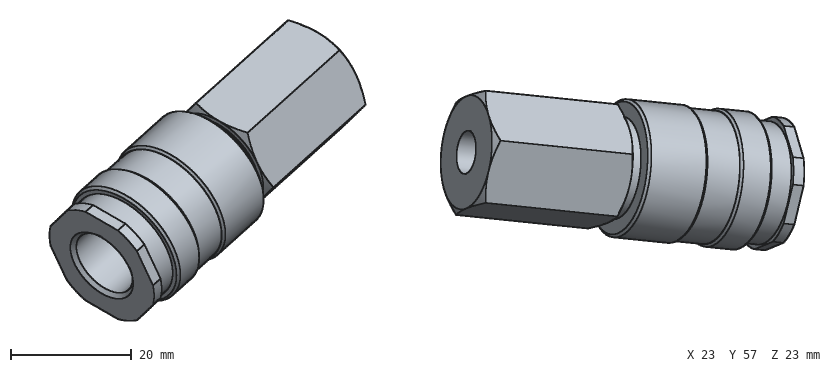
import cadquery as cq
import math

length = 57.0

collar_end = 2.0
front_ring_start = 6.0
front_ring_end = 11.9
rear_ring_start = 17.9
rear_ring_end = 28.95
hex_start = 30.9

collar_diameter = 22.25
front_neck_diameter = 20.5
ring_diameter = 23.0
groove_diameter = 22.25
rear_neck_diameter = 17.1
ring_chamfer = 0.45

collar_across_flats = 21.15
hex_across_flats = 19.0
hex_chamfer_angle = 30.0

mouth_diameter = 13.35
socket_diameter = 11.9
passage_diameter = 7.2
socket_depth = 22.8
mouth_chamfer = (mouth_diameter - socket_diameter) / 2


def cylinder(diameter, start, end):
    """Solid cylinder on the Y axis between two stations."""
    plane = cq.Workplane("XZ", origin=(0, start, 0))
    return plane.circle(diameter / 2).extrude(start - end)


def hexagon(across_flats, start, end):
    """Hexagonal bar on the Y axis with corners on X and flats facing up and down."""
    across_corners = across_flats / math.cos(math.radians(30))
    plane = cq.Workplane("XZ", origin=(0, start, 0))
    return plane.polygon(6, across_corners).extrude(start - end)


def chamfered_ring(start, end):
    return cylinder(ring_diameter, start, end).edges("%CIRCLE").chamfer(ring_chamfer)


def wrench_collar():
    """Round collar with six flats."""
    disc = cylinder(collar_diameter, 0, collar_end)
    return disc.intersect(hexagon(collar_across_flats, 0, collar_end))


def hex_body():
    """Hexagonal body whose corners are turned down conically at both ends."""
    end_radius = hex_across_flats / 2
    corner_radius = end_radius / math.cos(math.radians(30))
    corner_drop = (corner_radius - end_radius) * math.tan(math.radians(hex_chamfer_angle))
    turned_blank = (
        cq.Workplane("XY")
        .moveTo(0, hex_start)
        .lineTo(end_radius, hex_start)
        .lineTo(corner_radius, hex_start + corner_drop)
        .lineTo(corner_radius, length - corner_drop)
        .lineTo(end_radius, length)
        .lineTo(0, length)
        .close()
        .revolve(360, (0, 0, 0), (0, 1, 0))
    )
    return hexagon(hex_across_flats, hex_start, length).intersect(turned_blank)


def inner_passage():
    """Socket with a conical mouth, followed by a narrower through hole."""
    return (
        cq.Workplane("XY")
        .lineTo(mouth_diameter / 2, 0)
        .lineTo(socket_diameter / 2, mouth_chamfer)
        .lineTo(socket_diameter / 2, socket_depth)
        .lineTo(passage_diameter / 2, socket_depth)
        .lineTo(passage_diameter / 2, length)
        .lineTo(0, length)
        .close()
        .revolve(360, (0, 0, 0), (0, 1, 0))
    )


result = (
    wrench_collar()
    .union(cylinder(front_neck_diameter, collar_end, front_ring_start))
    .union(chamfered_ring(front_ring_start, front_ring_end))
    .union(cylinder(groove_diameter, front_ring_end, rear_ring_start))
    .union(chamfered_ring(rear_ring_start, rear_ring_end))
    .union(cylinder(rear_neck_diameter, rear_ring_end, hex_start))
    .union(hex_body())
    .cut(inner_passage())
)